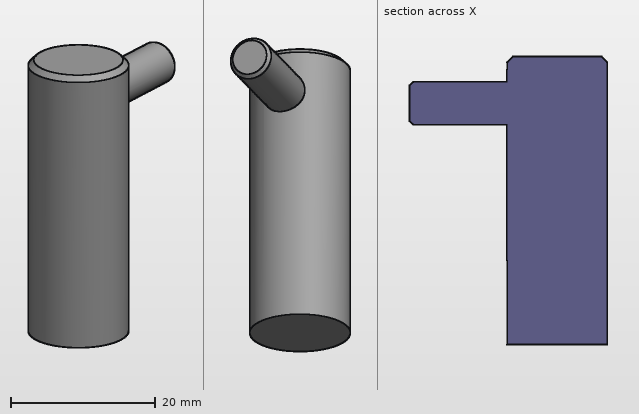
import cadquery as cq

body_diameter = 14.0
body_height = 40.0
body_chamfer = 0.8

pin_diameter = 6.0
pin_reach = 20.5
pin_axis_drop = 6.5
pin_chamfer = 0.5

pin_axis_height = body_height - pin_axis_drop


def make_body():
    """Upright cylinder with a chamfered top edge."""
    body = cq.Workplane("XY").circle(body_diameter / 2).extrude(body_height)
    return body.faces(">Z").chamfer(body_chamfer)


def make_pin():
    """Horizontal pin with a chamfered free end, rooted inside the body."""
    pin = (
        cq.Workplane("XZ")
        .center(0, pin_axis_height)
        .circle(pin_diameter / 2)
        .extrude(-pin_reach)
    )
    return pin.faces(">Y").chamfer(pin_chamfer)


result = make_body().union(make_pin())